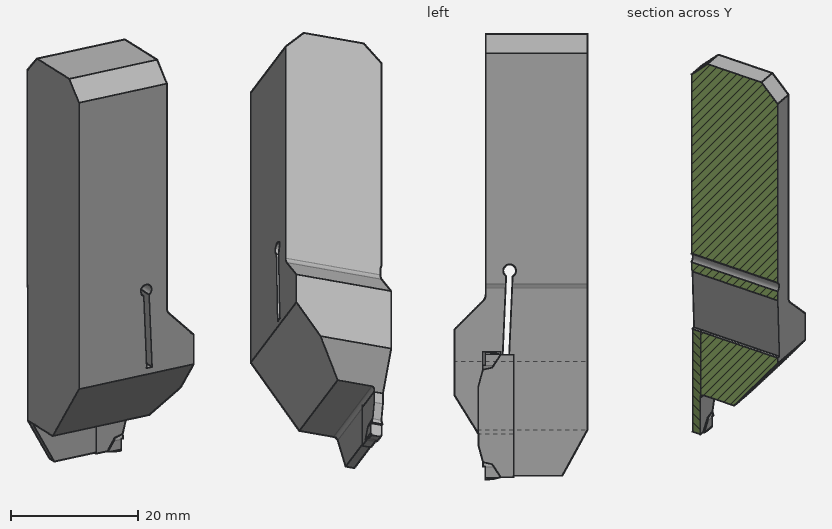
import cadquery as cq
import math


overall_height = 70.0
shank_width = 16.0
shank_depth = 16.0
top_chamfer = 3.0

side_relief = 0.175
relief_top = 30.8
relief_bottom = 30.2

foot_bottom = 7.9
foot_width = 7.9
foot_slope_top = 18.6
blade_thickness = 1.5
blade_back = side_relief + blade_thickness
blade_root_radius = 0.6
blade_bottom = 0.6
blade_slope_run = 4.0

jaw_depth = 20.9
jaw_top = 23.6
jaw_bottom = 13.3
jaw_neck_radius = 1.4
jaw_root_z = jaw_top + jaw_depth - shank_depth

slit_hole_radius = 1.0
slit_hole_y = 12.25
slit_hole_z = 32.8
slit_width = 1.0
slit_lean = 2.5

insert_length = 20.1
insert_middle = insert_length / 2
insert_seat_y = 11.6
insert_front_y = 17.15
end_inset = 0.4
front_flat_start = 5.4
shoulder_y = 16.45
shoulder_z = 2.8
ledge_z = 2.1
tip_y = 16.1
head_ledge_y = 15.0
head_root_y = 13.65
tip_relief_y = 14.8
tip_relief_z = 0.15
head_rim_z = 2.45
head_overhang = 0.2
head_tip_bevel = 0.35
head_back = blade_back + head_overhang

jaw_end_z = 7.2
jaw_slope = (jaw_depth - insert_front_y) / (jaw_bottom - jaw_end_z)
jaw_foot_y = insert_front_y - jaw_slope * (jaw_end_z - blade_bottom)


def flipped(points):
    """Turn (Y, Z) points end for end about the insert's middle, in reverse order."""
    return [(y, insert_length - z) for y, z in reversed(points)]


def plate(points, x_start, x_end):
    """A flat plate with a (Y, Z) outline, filling x_start to x_end."""
    outline = cq.Workplane("YZ", origin=(x_start, 0, 0)).polyline(points).close()
    return outline.extrude(x_end - x_start)


tip_outline = [
    (head_root_y, end_inset),
    (tip_relief_y, tip_relief_z),
    (tip_y, 0),
    (tip_y, ledge_z),
    (shoulder_y, ledge_z),
    (shoulder_y, shoulder_z),
]
lower_end = [(insert_seat_y, end_inset)] + tip_outline + [(insert_front_y, front_flat_start)]
head_outline = tip_outline + [(head_ledge_y, head_rim_z)]


def front_prism():
    """The XZ outline of shank, foot and blade, extruded over the whole depth."""
    arc_middle = blade_root_radius * (1 - math.sqrt(0.5))
    outline = (
        cq.Workplane("XZ")
        .moveTo(side_relief, blade_bottom)
        .lineTo(blade_back, blade_bottom)
        .lineTo(blade_back, foot_bottom - blade_root_radius)
        .threePointArc(
            (blade_back + arc_middle, foot_bottom - arc_middle),
            (blade_back + blade_root_radius, foot_bottom),
        )
        .lineTo(foot_width, foot_bottom)
        .lineTo(shank_width, foot_slope_top)
        .lineTo(shank_width, overall_height - top_chamfer)
        .lineTo(shank_width - top_chamfer, overall_height)
        .lineTo(top_chamfer, overall_height)
        .lineTo(0, overall_height - top_chamfer)
        .lineTo(0, relief_top)
        .lineTo(side_relief, relief_bottom)
        .close()
    )
    return outline.extrude(-jaw_depth)


def side_prism():
    """The YZ outline of shank, jaw and blade, extruded over the whole width."""
    points = [
        (0, foot_bottom),
        (0, overall_height),
        (shank_depth, overall_height),
        (shank_depth, jaw_root_z),
        (jaw_depth, jaw_top),
        (jaw_depth, jaw_bottom),
        (jaw_foot_y, blade_bottom),
        (blade_slope_run, blade_bottom),
    ]
    neck = cq.selectors.NearestToPointSelector((shank_width / 2, shank_depth, jaw_root_z))
    return plate(points, 0, shank_width).edges(neck).fillet(jaw_neck_radius)


def slit_cutter():
    """The leaning slit and its end hole, through the whole width."""
    hole = (
        cq.Workplane("YZ")
        .center(slit_hole_y, slit_hole_z)
        .circle(slit_hole_radius)
        .extrude(shank_width)
    )
    slit_length = slit_hole_z - insert_middle
    slit = (
        cq.Workplane("XY")
        .box(shank_width, slit_width, slit_length, centered=(False, True, False))
        .translate((0, slit_hole_y, slit_hole_z - slit_length))
        .rotate((0, slit_hole_y, slit_hole_z), (1, slit_hole_y, slit_hole_z), slit_lean)
    )
    above_insert = (
        cq.Workplane("XY")
        .box(shank_width, jaw_depth, overall_height, centered=False)
        .translate((0, 0, insert_length - end_inset))
    )
    return hole.union(slit.intersect(above_insert))


def lower_head():
    """The lower cutting head: its flanks taper back to the plate above the ledge and at the tip."""
    flank_points = [
        (side_relief, 0),
        (0, head_tip_bevel),
        (0, ledge_z),
        (side_relief, shoulder_z),
        (blade_back, shoulder_z),
        (head_back, ledge_z),
        (head_back, head_tip_bevel),
        (blade_back, 0),
    ]
    flanks = cq.Workplane("XZ").polyline(flank_points).close().extrude(-jaw_depth)
    return plate(head_outline, 0, head_back).intersect(flanks)


def make_insert():
    """A plate with a wider cutting head at each end."""
    body = plate(lower_end + flipped(lower_end), side_relief, blade_back)
    head = lower_head()
    upper_head = head.mirror("XY", (0, 0, insert_middle))
    return body.union(head).union(upper_head).solids()


def tip_clearance():
    """Square-cornered room round the upper cutting head."""
    points = [
        (head_root_y, insert_length - end_inset),
        (head_root_y, insert_length),
        (shoulder_y, insert_length),
        (shoulder_y, insert_length - shoulder_z),
        (head_ledge_y, insert_length - head_rim_z),
    ]
    return plate(points, 0, head_back)


def make_holder(seated_insert):
    """The shank, jaw and blade with the slit and the insert's seat cut out."""
    blank = front_prism().intersect(side_prism())
    return blank.cut(slit_cutter()).cut(tip_clearance()).cut(seated_insert).solids()


insert = make_insert()
holder = make_holder(insert)

result = cq.Compound.makeCompound([holder.val(), insert.val()])